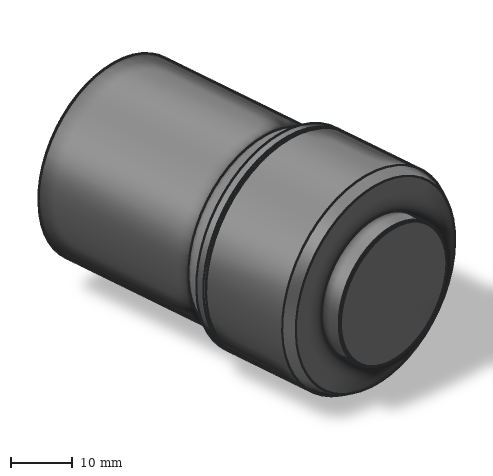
import cadquery as cq

total_length = 61.8
barrel_diameter = 36.0
head_diameter = 40.0
spigot_diameter = 25.5
spigot_length = 4.0

barrel_length = 33.3
shoulder_length = 3.6

groove_start = 38.45
groove_width = 0.6
groove_depth = 0.25

barrel_chamfer = 0.3
spigot_chamfer = 0.25
head_chamfer_length = 2.0
head_chamfer_depth = 1.1

barrel_radius = barrel_diameter / 2
head_radius = head_diameter / 2
spigot_radius = spigot_diameter / 2
x_start = -total_length / 2
x_end = total_length / 2
head_end = x_end - spigot_length
groove_x = x_start + groove_start


def turned_body():
    """Barrel, conical shoulder, grooved head and spigot as one revolved profile."""
    profile = (
        cq.Workplane("XZ")
        .moveTo(x_start, 0)
        .lineTo(x_start, barrel_radius - barrel_chamfer)
        .lineTo(x_start + barrel_chamfer, barrel_radius)
        .lineTo(x_start + barrel_length, barrel_radius)
        .lineTo(x_start + barrel_length + shoulder_length, head_radius)
        .lineTo(groove_x, head_radius)
        .lineTo(groove_x + groove_width / 2, head_radius - groove_depth)
        .lineTo(groove_x + groove_width, head_radius)
        .lineTo(head_end - head_chamfer_length, head_radius)
        .lineTo(head_end, head_radius - head_chamfer_depth)
        .lineTo(head_end, spigot_radius)
        .lineTo(x_end - spigot_chamfer, spigot_radius)
        .lineTo(x_end, spigot_radius - spigot_chamfer)
        .lineTo(x_end, 0)
        .close()
    )
    return profile.revolve(360, (0, 0, 0), (1, 0, 0))


result = turned_body()